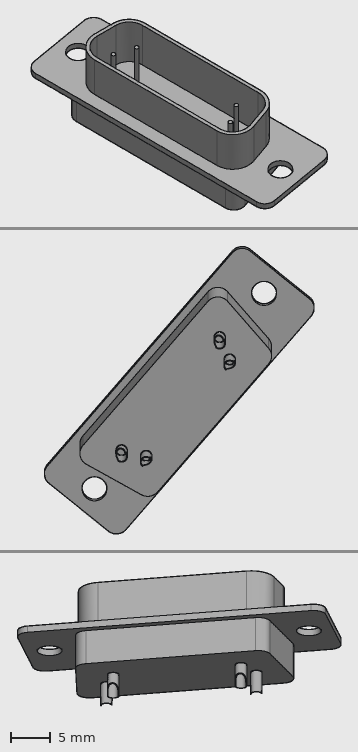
import cadquery as cq
import math

FLANGE_LENGTH = 39.5
FLANGE_WIDTH = 12.9
FLANGE_THICKNESS = 0.85
FLANGE_CORNER_RADIUS = 1.58
MOUNT_HOLE_DIAMETER = 3.12
MOUNT_HOLE_SPACING = 33.25

SIDE_ANGLE = 10.0
SHELL_LENGTH = 26.25
SHELL_WIDTH = 9.2
SHELL_HEIGHT = 6.0
SHELL_CORNER_RADIUS = 3.1
SHELL_WALL = 0.5
BODY_LENGTH = 27.75
BODY_WIDTH = 11.1
BODY_HEIGHT = 4.5
BODY_CORNER_RADIUS = 1.6

REAR_PIN_SPACING = 16.4
FRONT_PIN_SPACING = 19.25
ROW_OFFSET = 1.42
PIN_DIAMETER = 0.6
PIN_HEIGHT = 5.8
TAIL_DIAMETER = 1.45
TAIL_LENGTH = 2.92
CUP_DIAMETER = 1.25
CUP_OPENING_LENGTH = 1.5

shell_top_z = FLANGE_THICKNESS + SHELL_HEIGHT
tail_end_z = -BODY_HEIGHT - TAIL_LENGTH


def d_prism(length, width, radius, height):
    """Rounded trapezoid prism; length is measured over the rounded corners."""
    angle = math.radians(SIDE_ANGLE)
    arc_x = length / 2 - radius
    arc_y = radius - width / 2
    side_at_arc = arc_x + radius / math.cos(angle)
    front_x = side_at_arc + (arc_y + width / 2) * math.tan(angle)
    rear_x = side_at_arc + (arc_y - width / 2) * math.tan(angle)
    corners = [
        (-front_x, -width / 2),
        (front_x, -width / 2),
        (rear_x, width / 2),
        (-rear_x, width / 2),
    ]
    return cq.Workplane("XY").polyline(corners).close().extrude(height).edges("|Z").fillet(radius)


def cylinder(diameter, length, base):
    return cq.Workplane("XY").circle(diameter / 2).extrude(length).translate(base)


def make_flange():
    plate = cq.Workplane("XY").rect(FLANGE_LENGTH, FLANGE_WIDTH).extrude(FLANGE_THICKNESS)
    plate = plate.edges("|Z").fillet(FLANGE_CORNER_RADIUS)
    holes = [(-MOUNT_HOLE_SPACING / 2, 0), (MOUNT_HOLE_SPACING / 2, 0)]
    return plate.faces(">Z").workplane().pushPoints(holes).hole(MOUNT_HOLE_DIAMETER)


def make_shell():
    return d_prism(SHELL_LENGTH, SHELL_WIDTH, SHELL_CORNER_RADIUS, shell_top_z)


def make_shell_cavity():
    """Space inside the shell wall, open at the top and reaching down through the flange."""
    return d_prism(
        SHELL_LENGTH - 2 * SHELL_WALL,
        SHELL_WIDTH - 2 * SHELL_WALL,
        SHELL_CORNER_RADIUS - SHELL_WALL,
        shell_top_z,
    )


def make_body():
    body = d_prism(BODY_LENGTH, BODY_WIDTH, BODY_CORNER_RADIUS, BODY_HEIGHT)
    return body.translate((0, 0, -BODY_HEIGHT))


def make_solder_cup():
    """Tail on the Z axis, bored along its full length and scooped open towards +Y."""
    radius = TAIL_DIAMETER / 2
    tail = cylinder(TAIL_DIAMETER, TAIL_LENGTH, (0, 0, tail_end_z))
    bore = cylinder(CUP_DIAMETER, TAIL_LENGTH, (0, 0, tail_end_z))
    scoop_radius = (radius**2 + CUP_OPENING_LENGTH**2) / (2 * radius)
    scoop = (
        cq.Workplane("YZ")
        .center(scoop_radius, tail_end_z)
        .circle(scoop_radius)
        .extrude(radius, both=True)
    )
    return tail.cut(bore).cut(scoop)


def make_contact(x, y):
    """Contact pin and solder cup; the cup opens away from the other row."""
    pin = cylinder(PIN_DIAMETER, PIN_HEIGHT, (x, y, 0))
    facing = 0 if y > 0 else 180
    cup = make_solder_cup().rotate((0, 0, 0), (0, 0, 1), facing).translate((x, y, 0))
    return pin, cup


result = make_flange().union(make_shell()).cut(make_shell_cavity()).union(make_body())
for row_y, spacing in [(ROW_OFFSET, REAR_PIN_SPACING), (-ROW_OFFSET, FRONT_PIN_SPACING)]:
    for side in (-1, 1):
        for piece in make_contact(side * spacing / 2, row_y):
            result = result.union(piece)